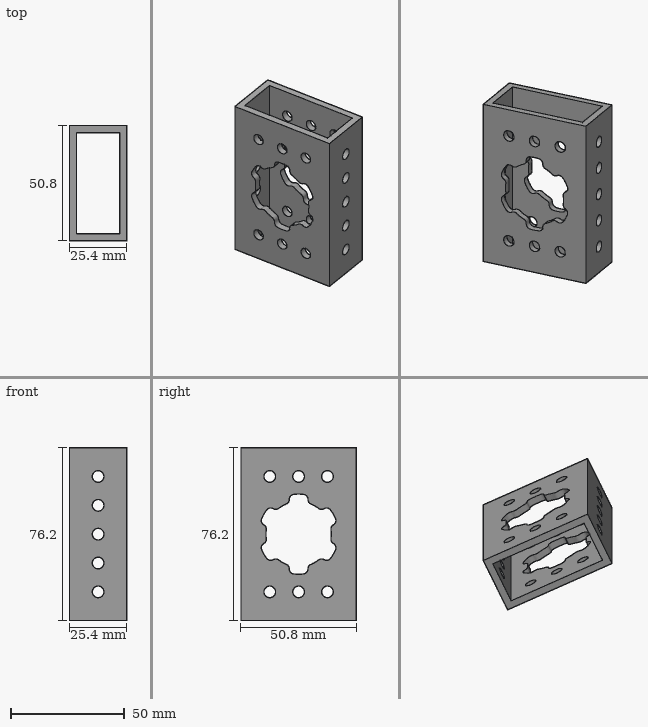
import cadquery as cq

height = 76.2
pitch = height / 6
width = 2 * pitch
depth = 4 * pitch
wall = 3.2
hole_diameter = 5.0
narrow_wall_hole_count = 5
wide_wall_row_count = 2
wide_wall_holes_per_row = 3
wide_wall_row_spacing = 4 * pitch

lobe_count = 6
opening_root_radius = 14.3
opening_tip_radius = 17.6
lobe_width = 8.15
lobe_corner_radius = 2.1


def make_tube():
    """Open-ended tube centred on the origin."""
    outside = cq.Workplane("XY").box(width, depth, height)
    inside = cq.Workplane("XY").box(width - 2 * wall, depth - 2 * wall, height)
    return outside.cut(inside)


def make_narrow_wall_holes():
    """Column of holes through both narrow walls."""
    return (
        cq.Workplane("XZ")
        .rarray(pitch, pitch, 1, narrow_wall_hole_count)
        .circle(hole_diameter / 2)
        .extrude(depth / 2, both=True)
    )


def make_wide_wall_holes():
    """Rows of holes above and below the opening, through both wide walls."""
    return (
        cq.Workplane("YZ")
        .rarray(pitch, wide_wall_row_spacing, wide_wall_holes_per_row, wide_wall_row_count)
        .circle(hole_diameter / 2)
        .extrude(width / 2, both=True)
    )


def make_wide_wall_cylinder(radius):
    """Cylinder along X that spans both wide walls."""
    return cq.Workplane("YZ").circle(radius).extrude(width / 2, both=True)


def make_opening():
    """Lobed cutter through both wide walls, with one lobe pointing up."""
    lobes = make_wide_wall_cylinder(opening_root_radius)
    bar_length = 3 * opening_tip_radius
    bar = cq.Workplane("XY").box(width, lobe_width, bar_length)
    for index in range(lobe_count // 2):
        lobes = lobes.union(bar.rotate((0, 0, 0), (1, 0, 0), index * 360 / lobe_count))
    lobes = lobes.intersect(make_wide_wall_cylinder(opening_tip_radius))

    return lobes.edges("|X").fillet(lobe_corner_radius)


result = (
    make_tube()
    .cut(make_narrow_wall_holes())
    .cut(make_wide_wall_holes())
    .cut(make_opening())
)